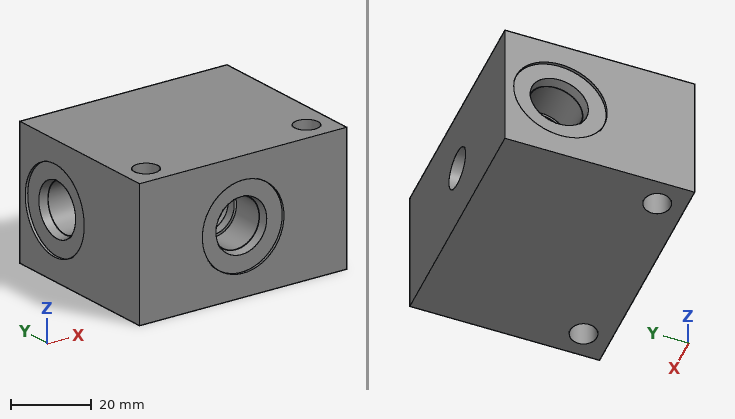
import cadquery as cq
import math

LENGTH_X = 63.5
WIDTH_Y = 50.8
HEIGHT_Z = 38.1

MOUNT_DIAMETER = 7.1
MOUNT_INSET = 7.2

SPOTFACE_DIAMETER = 25.0
SPOTFACE_DEPTH = 0.75
SEAL_MOUTH_DIAMETER = 15.55
SEAL_INNER_DIAMETER = 14.55
SEAL_TAPER_ANGLE = 12.0
THREAD_DIAMETER = 14.3
THREAD_END_DEPTH = 12.7
TAP_DRILL_DIAMETER = 12.9
TAP_DRILL_DEPTH = 15.25
DRILL_POINT_ANGLE = 118.0

MAIN_BORE_DIAMETER = 11.1
CROSS_DRILL_DIAMETER = 7.95
CROSS_DRILL_OVERRUN = 1.3
SIDE_PORT_FROM_BACK = 14.85


def drill_point_length(start_diameter, end_diameter=0.0):
    """Axial length of a drill-point cone between two diameters."""
    return (start_diameter - end_diameter) / 2 / math.tan(math.radians(DRILL_POINT_ANGLE / 2))


def port_cutter(passage_diameter, passage_depth, pointed):
    """Stepped port about +Z, with depths measured from the block face at Z = 0."""
    seal_length = (SEAL_MOUTH_DIAMETER - SEAL_INNER_DIAMETER) / 2 / math.tan(math.radians(SEAL_TAPER_ANGLE))
    seal_end = SPOTFACE_DEPTH + seal_length
    passage_start = TAP_DRILL_DEPTH + drill_point_length(TAP_DRILL_DIAMETER, passage_diameter)
    tip_depth = passage_depth
    if pointed:
        tip_depth += drill_point_length(passage_diameter)
    profile = [
        (0, 0),
        (SPOTFACE_DIAMETER / 2, 0),
        (SPOTFACE_DIAMETER / 2, SPOTFACE_DEPTH),
        (SEAL_MOUTH_DIAMETER / 2, SPOTFACE_DEPTH),
        (SEAL_INNER_DIAMETER / 2, seal_end),
        (THREAD_DIAMETER / 2, seal_end),
        (THREAD_DIAMETER / 2, THREAD_END_DEPTH),
        (TAP_DRILL_DIAMETER / 2, THREAD_END_DEPTH),
        (TAP_DRILL_DIAMETER / 2, TAP_DRILL_DEPTH),
        (passage_diameter / 2, passage_start),
        (passage_diameter / 2, passage_depth),
        (0, tip_depth),
    ]
    return cq.Workplane("XZ").polyline(profile).close().revolve(360, (0, 0, 0), (0, 1, 0))


block = cq.Workplane("XY").box(LENGTH_X, WIDTH_Y, HEIGHT_Z)

mount_x = LENGTH_X / 2 - MOUNT_INSET
mount_y = -WIDTH_Y / 2 + MOUNT_INSET
mount_holes = (
    cq.Workplane("XY", origin=(0, 0, -HEIGHT_Z / 2))
    .pushPoints([(-mount_x, mount_y), (mount_x, mount_y)])
    .circle(MOUNT_DIAMETER / 2)
    .extrude(HEIGHT_Z)
)

front_port = (
    port_cutter(MAIN_BORE_DIAMETER, WIDTH_Y, pointed=False)
    .rotate((0, 0, 0), (1, 0, 0), -90)
    .translate((0, -WIDTH_Y / 2, 0))
)

cross_drill_depth = LENGTH_X / 2 + MAIN_BORE_DIAMETER / 2 + CROSS_DRILL_OVERRUN
side_port = (
    port_cutter(CROSS_DRILL_DIAMETER, cross_drill_depth, pointed=True)
    .rotate((0, 0, 0), (0, 1, 0), 90)
    .translate((-LENGTH_X / 2, WIDTH_Y / 2 - SIDE_PORT_FROM_BACK, 0))
)

result = block.cut(mount_holes).cut(front_port).cut(side_port)